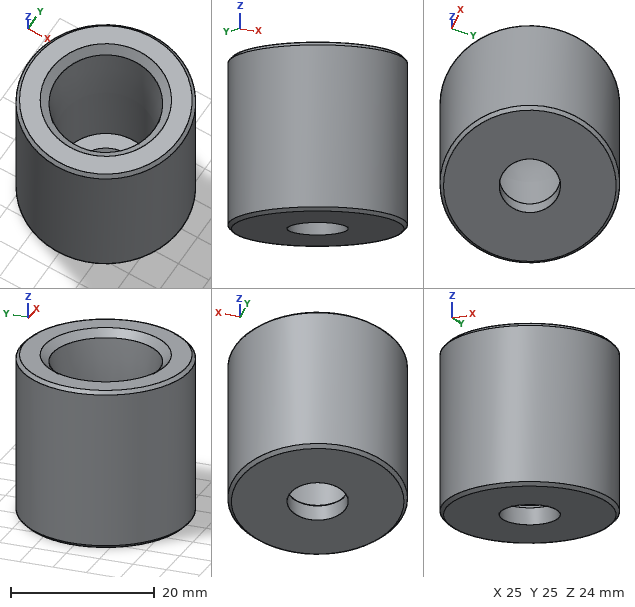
import cadquery as cq
import math

outer_radius = 12.5
height = 24.0
edge_chamfer = 0.5
base_height = 3.0

mouth_radius = 9.12
lip_radius = 7.9
throat_radius = 7.12
lip_depth = 1.0
throat_depth = 10.0

hole_radius = 4.25
hole_chamfer = 0.5

lip_z = height - lip_depth
throat_z = height - throat_depth

flare_rise = lip_z - throat_z
flare_run = lip_radius - throat_radius
flare_radius = (flare_rise**2 + flare_run**2) / (2 * flare_run)
flare_half_angle = math.asin(flare_rise / flare_radius) / 2
flare_middle = (
    throat_radius + flare_radius * (1 - math.cos(flare_half_angle)),
    throat_z + flare_radius * math.sin(flare_half_angle),
)


def make_body():
    """Cylinder with both outer rims chamfered."""
    body = cq.Workplane("XY").circle(outer_radius).extrude(height)
    return body.faces("<Z or >Z").edges().chamfer(edge_chamfer)


def make_bore():
    """Revolved cavity: chamfered mouth, flare, straight bore and through hole."""
    profile = (
        cq.Workplane("XZ")
        .moveTo(0, 0)
        .lineTo(hole_radius, 0)
        .lineTo(hole_radius, base_height - hole_chamfer)
        .lineTo(hole_radius + hole_chamfer, base_height)
        .lineTo(throat_radius, base_height)
        .lineTo(throat_radius, throat_z)
        .threePointArc(flare_middle, (lip_radius, lip_z))
        .lineTo(mouth_radius, height)
        .lineTo(0, height)
        .close()
    )
    return profile.revolve(360, (0, 0, 0), (0, 1, 0))


result = make_body().cut(make_bore())